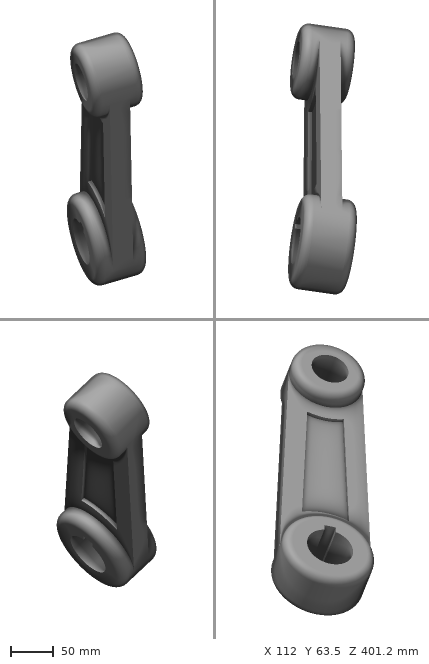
import cadquery as cq
import math

total_height = 401.2
boss_thickness = 63.5
arm_thickness = 25.3

large_radius = 56.0
small_radius = 45.0
large_bore_radius = large_radius / 2
small_bore_radius = small_radius / 2
boss_fillet = 10.0
center_distance = total_height - large_radius - small_radius

key_width = 14.0
key_top = 35.0

rim_width = 25.0
large_boss_gap = 20.0
small_boss_gap = 19.0
recess_depth = 5.0

side_angle = math.asin((large_radius - small_radius) / center_distance)
side_slope = math.tan(side_angle)


def y_prism(sketch, thickness):
    """Extrude an XZ sketch by a thickness centred on Y = 0."""
    return sketch.extrude(thickness).translate((0, thickness / 2, 0))


def boss(radius, z):
    """Round boss with both rims filleted."""
    cylinder = y_prism(cq.Workplane("XZ").center(0, z).circle(radius), boss_thickness)
    return cylinder.faces("|Y").edges().fillet(boss_fillet)


def bore(radius, z):
    """Cutter for a hole through a boss."""
    return y_prism(cq.Workplane("XZ").center(0, z).circle(radius), boss_thickness)


def arm():
    """Tapered web with sides tangent to both bosses."""
    lower_x = large_radius * math.cos(side_angle)
    lower_z = large_radius * math.sin(side_angle)
    upper_x = small_radius * math.cos(side_angle)
    upper_z = center_distance + small_radius * math.sin(side_angle)
    outline = cq.Workplane("XZ").polyline([
        (-lower_x, lower_z),
        (lower_x, lower_z),
        (upper_x, upper_z),
        (-upper_x, upper_z),
    ]).close()
    return y_prism(outline, arm_thickness)


def side_meets_circle(radius, center_z, direction):
    """Point where the right recess side crosses a circle, above (+1) or below (-1) its centre."""
    side_x = (large_radius - rim_width) / math.cos(side_angle) - side_slope * center_z
    a = 1 + side_slope ** 2
    b = side_x * side_slope
    c = side_x ** 2 - radius ** 2
    rise = (b + direction * math.sqrt(b ** 2 - a * c)) / a
    return side_x - side_slope * rise, center_z + rise


def recess(side):
    """Recess cutter for the +Y (side = 1) or -Y (side = -1) face of the arm."""
    lower_radius = large_radius + large_boss_gap
    upper_radius = small_radius + small_boss_gap
    lower_x, lower_z = side_meets_circle(lower_radius, 0, 1)
    upper_x, upper_z = side_meets_circle(upper_radius, center_distance, -1)
    outline = (
        cq.Workplane("XZ")
        .moveTo(-lower_x, lower_z)
        .threePointArc((0, lower_radius), (lower_x, lower_z))
        .lineTo(upper_x, upper_z)
        .threePointArc((0, center_distance - upper_radius), (-upper_x, upper_z))
        .close()
    )
    return y_prism(outline, 2 * recess_depth).translate((0, side * arm_thickness / 2, 0))


def keyway():
    """Cutter from the centre of the large bore to the top of the keyway."""
    slot = cq.Workplane("XZ").center(0, key_top / 2).rect(key_width, key_top)
    return y_prism(slot, boss_thickness)


result = arm()
for face_side in (-1, 1):
    result = result.cut(recess(face_side))
result = result.union(boss(large_radius, 0)).union(boss(small_radius, center_distance))
result = result.cut(bore(large_bore_radius, 0)).cut(bore(small_bore_radius, center_distance))
result = result.cut(keyway())